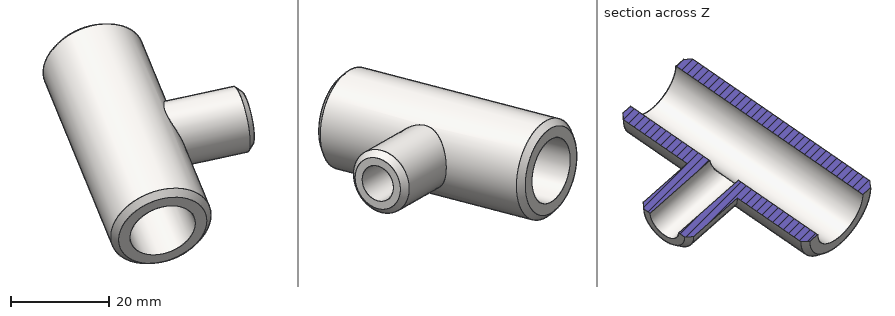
import cadquery as cq

RUN_LENGTH = 50.8
RUN_DIAMETER = 21.34
RUN_BORE = 13.87

BRANCH_REACH = 25.4
BRANCH_DIAMETER = 13.72
BRANCH_BORE = 7.67

BEVEL = 1.3


def run_body():
    """Solid run cylinder with both ends bevelled."""
    body = cq.Workplane("YZ").circle(RUN_DIAMETER / 2).extrude(RUN_LENGTH / 2, both=True)
    return body.faces("<X or >X").chamfer(BEVEL)


def run_bore():
    """Cutter for the through bore of the run."""
    return cq.Workplane("YZ").circle(RUN_BORE / 2).extrude(RUN_LENGTH / 2, both=True)


def branch_cylinder(diameter):
    """Cylinder from the run axis to the open end of the branch."""
    return cq.Workplane("XZ").circle(diameter / 2).extrude(-BRANCH_REACH)


def branch_body():
    """Solid branch cylinder with its open end bevelled."""
    return branch_cylinder(BRANCH_DIAMETER).faces(">Y").chamfer(BEVEL)


tee = run_body().union(branch_body())
result = tee.cut(run_bore()).cut(branch_cylinder(BRANCH_BORE))